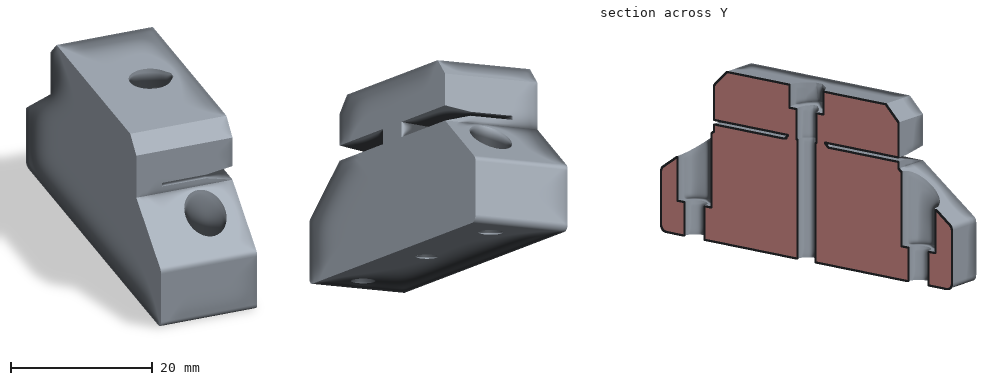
import cadquery as cq
import math

LENGTH = 52.0
THICKNESS = 14.6
HEIGHT = 25.3
HEAD_LENGTH = 33.0
HEAD_CHAMFER = 2.35
SHOULDER_TOP = 16.2
SHOULDER_BOTTOM = 9.25
EDGE_RADIUS = 1.0

CLEARANCE_DIAMETER = 3.5
HEAD_DIAMETER = 6.0
HOLE_Y = 1.8
MOUNT_HOLE_X = 19.95
MOUNT_SEAT_HEIGHT = 5.0
CLAMP_TOP_Y = 1.3
CLAMP_TILT = 9.0
CLAMP_HEAD_DEPTH = 3.4
THREAD_DIAMETER = 3.1
TEAR_SLOPE = 35.0
TEAR_HEIGHT = 1.1

SLOT_BOTTOM = 17.25
SLOT_TOP = 17.85
SLOT_END_Y = -3.4
MOUTH_Y = 3.35
MOUTH_TOP = 18.4
MOUTH_BOTTOM = SHOULDER_TOP

CORE_LENGTH = 7.8
CORE_MOUTH_TAPER = 1.05
CORE_GAP = 0.3

BACK_Y = THICKNESS / 2
SLOT_MID = (SLOT_BOTTOM + SLOT_TOP) / 2


def make_block():
    half_length = LENGTH / 2
    half_head = HEAD_LENGTH / 2
    right_side = [
        (half_length, 0),
        (half_length, SHOULDER_BOTTOM),
        (half_head, SHOULDER_TOP),
        (half_head, HEIGHT - HEAD_CHAMFER),
        (half_head - HEAD_CHAMFER, HEIGHT),
    ]
    left_side = [(-x, z) for x, z in reversed(right_side)]
    block = cq.Workplane("XZ").polyline(right_side + left_side).close().extrude(BACK_Y, both=True)
    end_faces = block.faces("<X or >X")
    return end_faces.edges("|Y").fillet(EDGE_RADIUS)


def teardrop(plane, diameter, start, depth):
    """Round hole with a truncated pointed roof on its +Y side, cut down from the given plane."""
    radius = diameter / 2
    slope = math.radians(TEAR_SLOPE)
    tangent_x = radius * math.sin(slope)
    tangent_y = radius * math.cos(slope)
    flat_y = radius * TEAR_HEIGHT
    flat_x = (radius / math.cos(slope) - flat_y) / math.tan(slope)
    return (
        cq.Workplane(plane)
        .workplane(offset=-start)
        .moveTo(tangent_x, tangent_y)
        .threePointArc((0, -radius), (-tangent_x, tangent_y))
        .lineTo(-flat_x, flat_y)
        .lineTo(flat_x, flat_y)
        .close()
        .extrude(-depth)
    )


def make_mount_hole(x):
    clearance = cq.Workplane("XY").center(x, HOLE_Y).circle(CLEARANCE_DIAMETER / 2).extrude(HEIGHT)
    counterbore = (
        cq.Workplane("XY", origin=(x, HOLE_Y, MOUNT_SEAT_HEIGHT))
        .circle(HEAD_DIAMETER / 2)
        .extrude(SHOULDER_TOP - MOUNT_SEAT_HEIGHT)
    )
    return clearance.union(counterbore)


def make_clamp_hole():
    """Tilted counterbore over a vertical hole that narrows below the slot."""
    tilt = math.radians(CLAMP_TILT)
    up_axis = (0, -math.sin(tilt), math.cos(tilt))
    plane = cq.Plane(origin=(0, CLAMP_TOP_Y, HEIGHT), xDir=(1, 0, 0), normal=up_axis)
    overshoot = HEAD_DIAMETER / 2
    counterbore = teardrop(plane, HEAD_DIAMETER, -overshoot, CLAMP_HEAD_DEPTH + overshoot)
    axis_plane = cq.Plane(origin=(0, HOLE_Y, HEIGHT))
    clearance_start = CLAMP_HEAD_DEPTH / 2
    jaw_split = HEIGHT - SLOT_MID
    clearance = teardrop(axis_plane, CLEARANCE_DIAMETER, clearance_start, jaw_split - clearance_start)
    thread = teardrop(axis_plane, THREAD_DIAMETER, jaw_split, SLOT_MID)
    return counterbore.union(clearance).union(thread)


def make_core():
    half = CORE_LENGTH / 2
    bevel = SLOT_TOP - SLOT_BOTTOM
    ridge_start = SLOT_END_Y + CORE_GAP
    ridge = (
        cq.Workplane("XZ", origin=(0, ridge_start, 0))
        .polyline([
            (-half, SLOT_BOTTOM),
            (half, SLOT_BOTTOM),
            (half - bevel, SLOT_TOP),
            (bevel - half, SLOT_TOP),
        ])
        .close()
        .extrude(ridge_start - MOUTH_Y)
    )
    web = (
        cq.Workplane("XY", origin=(0, 0, MOUTH_BOTTOM))
        .polyline([
            (-half, MOUTH_Y),
            (half, MOUTH_Y),
            (half - CORE_MOUTH_TAPER, BACK_Y),
            (CORE_MOUTH_TAPER - half, BACK_Y),
        ])
        .close()
        .extrude(MOUTH_TOP - MOUTH_BOTTOM)
    )
    return ridge.union(web)


def make_slot():
    outline = [
        (SLOT_END_Y, SLOT_BOTTOM),
        (MOUTH_Y, SLOT_BOTTOM),
        (BACK_Y, MOUTH_BOTTOM),
        (BACK_Y, MOUTH_TOP),
        (MOUTH_Y, SLOT_TOP),
        (SLOT_END_Y, SLOT_TOP),
    ]
    slot = cq.Workplane("YZ").polyline(outline).close().extrude(LENGTH / 2, both=True)
    return slot.cut(make_core())


result = make_block().cut(make_slot()).cut(make_clamp_hole())
for side in (-1, 1):
    result = result.cut(make_mount_hole(side * MOUNT_HOLE_X))